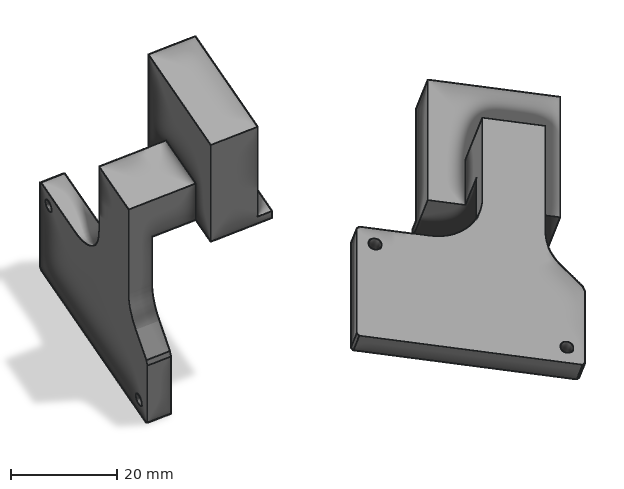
import cadquery as cq

plate_width = 44.0
plate_shoulder_height = 24.9
plate_thickness = 5.0
corner_chamfer = 0.5
slope_corner_chamfer = 0.6
slope_end_height = 17.4

neck_left = 24.2
neck_width = 12.1
neck_right = neck_left + neck_width
neck_fillet_radius = 10.0
arm_top = 53.4
arm_reach = 14.2

hole_diameter = 2.55
hole_inset = 3.5

head_left = 16.9
head_width = 25.55
head_bottom = 43.05
head_top = 70.55
head_depth = 9.95
lip_depth = 3.0
lip_height = 2.0


def box(left, front, bottom, width, depth, height):
    """Box placed by its left, front, bottom corner."""
    return cq.Workplane("XY").box(width, depth, height, centered=False).translate((left, front, bottom))


def edge_at(solid, x, z):
    """Select the front-to-back edge passing through (x, z)."""
    nearest = cq.selectors.NearestToPointSelector((x, plate_thickness / 2, z))
    return solid.edges("|Y").edges(nearest)


def make_plate():
    slope_top = slope_end_height + plate_width - neck_right
    outline = [
        (0, 0),
        (plate_width, 0),
        (plate_width, slope_end_height),
        (neck_right, slope_top),
        (neck_right, arm_top),
        (neck_left, arm_top),
        (neck_left, plate_shoulder_height),
        (0, plate_shoulder_height),
    ]
    plate = cq.Workplane("XZ").polyline(outline).close().extrude(-plate_thickness)

    outer_corners = [
        (0, 0, corner_chamfer),
        (plate_width, 0, corner_chamfer),
        (0, plate_shoulder_height, corner_chamfer),
        (plate_width, slope_end_height, slope_corner_chamfer),
    ]
    for x, z, chamfer in outer_corners:
        plate = edge_at(plate, x, z).chamfer(chamfer)

    neck_corners = [(neck_right, slope_top), (neck_left, plate_shoulder_height)]
    for x, z in neck_corners:
        plate = edge_at(plate, x, z).fillet(neck_fillet_radius)

    hole_centers = [
        (hole_inset, plate_shoulder_height - hole_inset),
        (plate_width - hole_inset, hole_inset),
    ]
    holes = (
        cq.Workplane("XZ")
        .pushPoints(hole_centers)
        .circle(hole_diameter / 2)
        .extrude(-plate_thickness)
    )
    return plate.cut(holes)


def make_arm():
    return box(neck_left, 0, head_bottom, neck_width, arm_reach, arm_top - head_bottom)


def make_head():
    block = box(head_left, arm_reach, head_bottom, head_width, head_depth, head_top - head_bottom)
    lip = box(head_left, arm_reach, head_bottom, head_width, head_depth + lip_depth, lip_height)
    return block.union(lip)


result = make_plate().union(make_arm()).union(make_head())